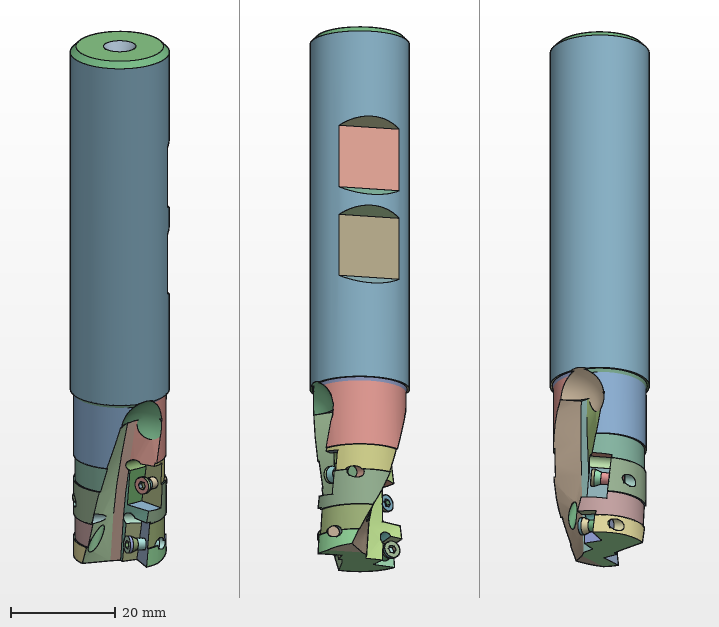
import cadquery as cq
import math


total_length = 103.8
shank_radius = 9.5
shank_bottom = 33.8
shank_chamfer = 1.1

neck_radius = 8.9
relief_radius = 8.6
cone_top_radius = 9.1
cone_bottom = 33.1
upper_relief_top = 20.5
upper_relief_bottom = 15.6
lower_relief_top = 8.6
lower_relief_bottom = 3.6

flat_depth = 2.1
flat_end_run = 1.7
flat_spans = [(52.5, 68.0), (70.2, 85.7)]

tip_relief_start = 4.7
tip_relief_rise = 0.8

bore_radius = 1.9
bore_mouth_radius = 3.1
bore_mouth_depth = 2.2
branch_radius = 1.0
branch_start = 21.4
branch_lean = 24.0
branch_length = 22.3
branch_turns = [6.0, 208.0]

seat_floor = 2.3
seat_inner = 4.3
seat_corner_radius = 1.2
seat_reach = 10.4
seat_rake = 6.0
seat_skew = 4.0

screw_place = 6.4
thread_radius = 1.1
screw_inside = 2.8
head_radius = 1.7
head_top = 3.5
head_rim = 0.6
head_cone = 1.2
socket_sides = 6
socket_width = 1.7
socket_depth = 0.9

seats = [
    (0.0, 3.9, 6.2, 5.2),
    (28.0, 15.5, 4.4, 4.4),
    (194.0, 2.2, 4.2, 2.5),
    (213.0, 11.9, 4.7, 4.5),
]

flute_reach = 14.5
flute_1 = [
    (-1.0, 62.0, (-0.5, 3.4), (-0.9, 0.9), 180.0),
    (8.3, 92.0, (-1.2, 3.1), (-1.7, 1.0), 193.0),
    (14.5, 114.0, (-2.2, 2.7), (-2.6, 0.7), 204.0),
    (20.8, 131.0, (-3.3, 2.1), (-3.7, 0.2), 212.0),
    (29.1, 158.0, (-5.3, 0.5), (-5.5, -1.0), 222.0),
]
flute_2 = [
    (-1.0, 280.0, (2.7, -3.1), (3.1, -1.2), 352.0),
    (8.3, 299.0, (3.5, -2.9), (3.8, -0.9), 371.0),
    (14.5, 309.0, (4.2, -2.6), (4.5, -0.6), 380.0),
    (20.8, 321.0, (4.7, -1.9), (5.1, 0.0), 390.0),
    (29.1, 338.0, (5.3, -0.5), (5.5, 1.0), 402.0),
]
flute_end_radius = 6.5
flute_end_offset = 12.2
flute_end_height = 28.2


def on_circle(radius, angle):
    turn = math.radians(angle)
    return radius * math.cos(turn), radius * math.sin(turn)


def make_blank():
    """Shank and banded neck as one turned profile."""
    return (
        cq.Workplane("XZ")
        .moveTo(0, 0)
        .lineTo(neck_radius, 0)
        .lineTo(neck_radius, lower_relief_bottom)
        .lineTo(relief_radius, lower_relief_bottom)
        .lineTo(relief_radius, lower_relief_top)
        .lineTo(neck_radius, lower_relief_top)
        .lineTo(neck_radius, upper_relief_bottom)
        .lineTo(relief_radius, upper_relief_bottom)
        .lineTo(relief_radius, upper_relief_top)
        .lineTo(neck_radius, upper_relief_top)
        .lineTo(neck_radius, cone_bottom)
        .lineTo(cone_top_radius, shank_bottom)
        .lineTo(shank_radius, shank_bottom)
        .lineTo(shank_radius, total_length - shank_chamfer)
        .lineTo(shank_radius - shank_chamfer, total_length)
        .lineTo(0, total_length)
        .close()
        .revolve(360, (0, 0), (0, 1))
    )


def make_flat(bottom, top):
    """Cutter for one clamping flat with sloping ends."""
    floor = shank_radius - flat_depth
    return (
        cq.Workplane("YZ")
        .moveTo(shank_radius, bottom)
        .lineTo(floor, bottom + flat_end_run)
        .lineTo(floor, top - flat_end_run)
        .lineTo(shank_radius, top)
        .close()
        .extrude(shank_radius, both=True)
    )


def make_tip_relief():
    """Wedge under the tip that slopes up toward +Y."""
    return (
        cq.Workplane("YZ")
        .moveTo(tip_relief_start, 0)
        .lineTo(neck_radius, tip_relief_rise)
        .lineTo(neck_radius, 0)
        .close()
        .extrude(neck_radius, both=True)
    )


def make_coolant_bore():
    """Central bore with a conical mouth, split into one sloping branch per flute."""
    profile = (
        cq.Workplane("XZ")
        .moveTo(0, branch_start)
        .lineTo(bore_radius, branch_start)
        .lineTo(bore_radius, total_length - bore_mouth_depth)
        .lineTo(bore_mouth_radius, total_length)
        .lineTo(0, total_length)
        .close()
    )
    bore = profile.revolve(360, (0, 0), (0, 1))
    for turn in branch_turns:
        branch = (
            cq.Workplane("XY")
            .circle(branch_radius)
            .extrude(-branch_length)
            .rotate((0, 0, 0), (1, 0, 0), branch_lean)
            .rotate((0, 0, 0), (0, 0, 1), turn)
            .translate((0, 0, branch_start))
        )
        bore = bore.union(branch)
    return bore


def make_flute(sections):
    """Cutter for one twisted chip flute that runs out in a rounded end."""
    wires = []
    for height, leading, root_start, root_end, trailing in sections:
        corners = [
            root_end,
            root_start,
            on_circle(neck_radius, leading),
            on_circle(flute_reach, leading),
            on_circle(flute_reach * math.sqrt(2), (leading + trailing) / 2),
            on_circle(flute_reach, trailing),
            on_circle(neck_radius, trailing),
        ]
        wires.append(cq.Wire.makePolygon([cq.Vector(x, y, height) for x, y in corners], close=True))
    channel = cq.Workplane(obj=cq.Solid.makeLoft(wires))

    leading_end, trailing_end = sections[-1][1], sections[-1][4]
    end_x, end_y = on_circle(flute_end_offset, (leading_end + trailing_end) / 2)
    end = cq.Workplane("XY").sphere(flute_end_radius).translate((end_x, end_y, flute_end_height))
    return channel, end


def at_seat(shape, turn, height):
    """Move a shape from the seat frame (screw axis along -Y at the origin) into the tool."""
    return (
        shape.rotate((0, 0, 0), (0, 1, 0), seat_skew)
        .rotate((0, 0, 0), (1, 0, 0), -seat_rake)
        .translate((screw_place, seat_floor, height))
        .rotate((0, 0, 0), (0, 0, 1), turn)
    )


def make_seat(below, above):
    """Insert seat cutter: open outward and to the flute, with a relieved upper inner corner."""
    inner = seat_inner - screw_place
    recess = (
        cq.Workplane("XZ")
        .moveTo(inner, -below)
        .lineTo(seat_reach, -below)
        .lineTo(seat_reach, above)
        .lineTo(inner, above)
        .close()
        .extrude(seat_reach)
    )
    corner = (
        cq.Workplane("XZ")
        .center(inner + seat_corner_radius / 2, above - seat_corner_radius / 2)
        .circle(seat_corner_radius)
        .extrude(seat_reach)
    )
    return recess.union(corner)


def make_screw_hole():
    return cq.Workplane("XZ").circle(thread_radius).extrude(2 * seat_reach, both=True)


def make_screw():
    """Countersunk screw whose head stands above the seat floor."""
    profile = (
        cq.Workplane("XY")
        .moveTo(0, screw_inside)
        .lineTo(thread_radius, screw_inside)
        .lineTo(thread_radius, head_rim + head_cone - head_top)
        .lineTo(head_radius, head_rim - head_top)
        .lineTo(head_radius, -head_top)
        .lineTo(0, -head_top)
        .close()
    )
    screw = profile.revolve(360, (0, 0), (0, 1))
    socket = (
        cq.Workplane("XZ", origin=(0, -head_top, 0))
        .polygon(socket_sides, socket_width)
        .extrude(-socket_depth)
    )
    return screw.cut(socket)


body = make_blank()
for bottom, top in flat_spans:
    body = body.cut(make_flat(bottom, top))
for sections in (flute_1, flute_2):
    for cutter in make_flute(sections):
        body = body.cut(cutter)
for turn, height, below, above in seats:
    body = body.cut(at_seat(make_seat(below, above), turn, height))
    body = body.cut(at_seat(make_screw_hole(), turn, height))
body = body.cut(make_coolant_bore())
body = body.cut(make_tip_relief())

screws = []
for turn, height, _, _ in seats:
    screws.append(at_seat(make_screw(), turn, height).val())

result = cq.Compound.makeCompound([body.val(), *screws])